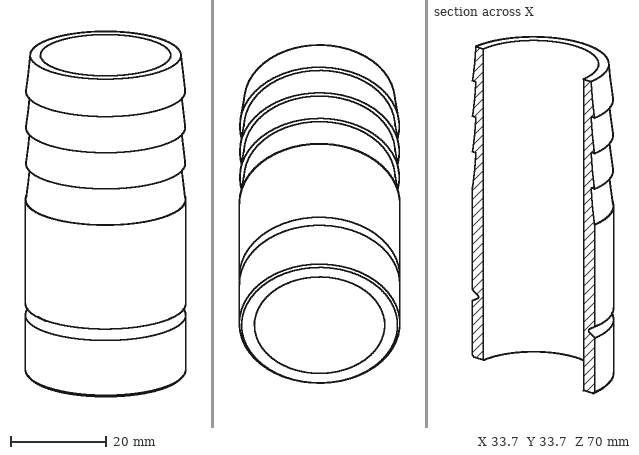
import cadquery as cq

length = 70.0
outer_radius = 16.835
bore_radius = 13.65

barb_count = 4
barb_height = 8.0
barb_base_radius = 16.7
barb_tip_radius = 15.8

groove_bottom = 12.6
groove_width = 2.5
groove_floor_width = 0.7
groove_floor_edge_radius = 15.3
groove_floor_radius = 15.1

end_chamfer = 0.5

body_height = length - barb_count * barb_height


def make_barb(base_height):
    """Return one solid cone of the barbed hose end."""
    profile = [
        (0, base_height),
        (barb_base_radius, base_height),
        (barb_tip_radius, base_height + barb_height),
        (0, base_height + barb_height),
    ]
    return cq.Workplane("XZ").polyline(profile).close().revolve(360, (0, 0), (0, 1))


def make_groove():
    """Return the ring to cut from the plain body."""
    flank_height = (groove_width - groove_floor_width) / 2
    groove_top = groove_bottom + groove_width
    groove_middle = groove_bottom + groove_width / 2
    return (
        cq.Workplane("XZ")
        .moveTo(outer_radius, groove_bottom)
        .lineTo(groove_floor_edge_radius, groove_bottom + flank_height)
        .threePointArc(
            (groove_floor_radius, groove_middle),
            (groove_floor_edge_radius, groove_top - flank_height),
        )
        .lineTo(outer_radius, groove_top)
        .close()
        .revolve(360, (0, 0), (0, 1))
    )


result = cq.Workplane("XY").circle(outer_radius).extrude(body_height)
result = result.faces("<Z").chamfer(end_chamfer)
result = result.cut(make_groove())

for index in range(barb_count):
    result = result.union(make_barb(body_height + index * barb_height))

bore = cq.Workplane("XY").circle(bore_radius).extrude(length)
result = result.cut(bore)